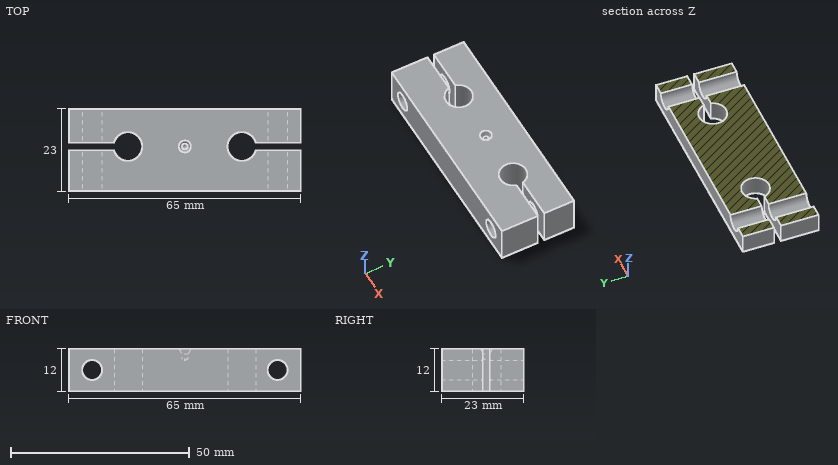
import cadquery as cq
import math

length = 65
width = 23.0
height = 12.0

bore_diameter = 8.0
bore_spacing = 32.0
bore_line_y = 1.0
slot_width = 2.0

screw_diameter = 5.5
screw_spacing = 52

center_mouth_diameter = 3.4
center_pilot_diameter = 1.6
center_cone_angle = 60
pilot_length = 1.3
pilot_tip_angle = 120


def cone_height(large_diameter, small_diameter, included_angle):
    """Axial height of a cone frustum between two diameters."""
    return (large_diameter - small_diameter) / 2 / math.tan(math.radians(included_angle / 2))


def clamp_cut(side):
    """Vertical bore and its slot, on the -X (side = -1) or +X (side = 1) half."""
    bore_x = side * bore_spacing / 2
    end_x = side * length / 2
    bore = (
        cq.Workplane("XY")
        .center(bore_x, bore_line_y)
        .circle(bore_diameter / 2)
        .extrude(height, both=True)
    )
    slot = (
        cq.Workplane("XY")
        .center((bore_x + end_x) / 2, bore_line_y)
        .rect(abs(end_x - bore_x), slot_width)
        .extrude(height, both=True)
    )
    return bore.union(slot)


def screw_cut(side):
    """Plain through hole along Y for a clamp screw."""
    return (
        cq.Workplane("XZ")
        .center(side * screw_spacing / 2, 0)
        .circle(screw_diameter / 2)
        .extrude(width, both=True)
    )


def center_drill_cut():
    """Conical mouth, straight pilot and pointed bottom, revolved about Z."""
    top_z = height / 2
    pilot_top_z = top_z - cone_height(center_mouth_diameter, center_pilot_diameter, center_cone_angle)
    pilot_bottom_z = pilot_top_z - pilot_length
    tip_z = pilot_bottom_z - cone_height(center_pilot_diameter, 0, pilot_tip_angle)
    half_profile = [
        (0, top_z),
        (center_mouth_diameter / 2, top_z),
        (center_pilot_diameter / 2, pilot_top_z),
        (center_pilot_diameter / 2, pilot_bottom_z),
        (0, tip_z),
    ]
    cutter = cq.Workplane("XZ").polyline(half_profile).close().revolve(360, (0, 0, 0), (0, 1, 0))
    return cutter.translate((0, bore_line_y, 0))


result = cq.Workplane("XY").box(length, width, height)
for side in (-1, 1):
    result = result.cut(clamp_cut(side)).cut(screw_cut(side))
result = result.cut(center_drill_cut())